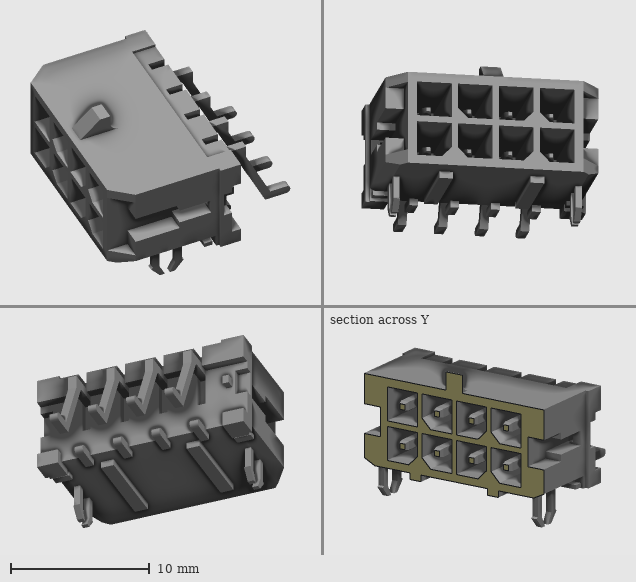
import cadquery as cq
import math


pitch = 3.0
columns = 4
lower_row_z = 2.4
upper_row_z = lower_row_z + pitch
pin_size = 0.64
pin_tip_size = 0.28
pin_tip_length = 0.8
pin_tip_y = 2.5

cell_size = 2.54
cell_chamfer = 0.72
cell_depth = 7.5
upper_keys = ("none", "left", "right", "left")
lower_keys = ("right", "left", "right", "left")

core_half_width = 6.44
wall_half_width = 7.8
flange_half_width = 8.075
body_bottom = 0.5
body_top = 7.37
body_length = 9.92
flange_front = 8.3
leg_front = 8.07
corner_depth = 1.63
corner_low_z = 1.52
corner_high_z = 6.6
bevel_half_width = 6.9
bevel_top_z = 0.96

slot_z = 3.93
wide_slot_height = 2.22
wide_slot_end = 5.15
narrow_slot_height = 1.14
narrow_slot_end = 7.67
clip_hole_depth = 0.5
clip_hole_half_width = 6.82
clip_notch_half_width = 7.13
clip_notch_height = 0.8

comb_half_width = 6.33
comb_top = 7.15
comb_front = 8.05
comb_slot_front = 8.62
rear_recess_y = 9.2
rear_recess_bottom = 1.13
rear_recess_top = 5.52
side_notch_front = 8.57
side_notch_half_width = 7.13
side_notch_bottom = 2.96
side_notch_top = 4.95

rib_x = 3.35
rib_width = 1.0
rib_front = 1.65

latch_width = 1.45
latch_top = 8.75
latch_foot_y = 0.56
latch_crest_front = 2.16
latch_crest_rear = 2.96
latch_root_radius = 0.7

clip_thickness = 0.47
clip_bottom = -2.02
clip_y = 4.59
clip_leg_outer = 1.15
clip_leg_inner = 0.63
clip_barb = 1.31
clip_barb_z = -1.2
clip_barb_step = 0.1
clip_tip_outer = 0.6
clip_tip_inner = 0.2
clip_root_z = 1.5
clip_tail_height = 0.64
tab_outer = 7.74
tab_bottom = 0.16
tab_front = 7.15
tab_length = 0.64

upper_tail_end = 15.4
upper_bend_y = 11.88
upper_bend_z = 4.7
upper_foot_y = 13.8
lower_tail_end = 10.68
inner_bend_y = 10.77


def box(x0, x1, y0, y1, z0, z1):
    """Box given by its limits along each axis."""
    return cq.Workplane("XY").box(x1 - x0, y1 - y0, z1 - z0, centered=False).translate((x0, y0, z0))


def plate(profile, x0, x1):
    """Closed YZ profile extruded from x0 to x1."""
    return profile.extrude(x1 - x0).translate((x0, 0, 0))


def both_sides(solid):
    """The solid together with its mirror image across X = 0."""
    return solid.union(solid.mirror("YZ"))


def housing_block():
    core = box(-core_half_width, core_half_width, 0, body_length, body_bottom, body_top)
    wall_outline = [
        (core_half_width, 0),
        (wall_half_width, corner_depth),
        (wall_half_width, flange_front),
        (core_half_width, flange_front),
    ]
    wall = cq.Workplane("XY").polyline(wall_outline).close().extrude(body_top - body_bottom)
    wall = wall.translate((0, 0, body_bottom))
    bevel = (
        cq.Workplane("XZ")
        .polyline([
            (bevel_half_width, body_bottom),
            (wall_half_width, body_bottom),
            (wall_half_width, bevel_top_z),
        ])
        .close()
        .extrude(-leg_front)
    )
    corner_recess = box(core_half_width, wall_half_width, 0, corner_depth, corner_low_z, corner_high_z)
    leg = box(core_half_width, wall_half_width, leg_front, body_length, 0, body_top)
    flange = box(core_half_width, flange_half_width, flange_front, body_length, 0, body_top)
    side = wall.cut(bevel).cut(corner_recess).union(leg).union(flange)
    return core.union(both_sides(side))


def side_slots():
    def slot(outer, y0, y1, height):
        return box(core_half_width, outer, y0, y1, slot_z - height / 2, slot_z + height / 2)

    hole_end = narrow_slot_end + clip_hole_depth
    cutter = slot(wall_half_width, 0, wide_slot_end, wide_slot_height)
    cutter = cutter.union(slot(wall_half_width, 0, narrow_slot_end, narrow_slot_height))
    cutter = cutter.union(slot(clip_hole_half_width, 0, hole_end, narrow_slot_height))
    cutter = cutter.union(slot(clip_notch_half_width, 0, hole_end, clip_notch_height))
    return both_sides(cutter)


def rear_cuts():
    cutter = box(-comb_half_width, comb_half_width, comb_front, body_length, comb_top, body_top)
    cutter = cutter.union(box(
        -flange_half_width, flange_half_width, rear_recess_y, body_length,
        rear_recess_bottom, rear_recess_top,
    ))
    cutter = cutter.union(box(
        -core_half_width, core_half_width, rear_recess_y, body_length, 0, rear_recess_top,
    ))
    side_notch = box(
        side_notch_half_width, flange_half_width, side_notch_front, rear_recess_y,
        side_notch_bottom, side_notch_top,
    )
    cutter = cutter.union(both_sides(side_notch))
    for x in column_positions():
        cutter = cutter.union(box(
            x - pin_size / 2, x + pin_size / 2, comb_slot_front, body_length, body_bottom, body_top,
        ))
    return cutter


def column_positions():
    return [(i - (columns - 1) / 2) * pitch for i in range(columns)]


def cell(x, z, key):
    """Square cavity; `key` names the lower corner that is cut off."""
    half = cell_size / 2
    cavity = box(x - half, x + half, 0, cell_depth, z - half, z + half)
    if key == "none":
        return cavity
    side = -1 if key == "left" else 1
    corner_x = x + side * half
    corner_z = z - half
    corner = (
        cq.Workplane("XZ")
        .polyline([
            (corner_x, corner_z),
            (corner_x - side * cell_chamfer, corner_z),
            (corner_x, corner_z + cell_chamfer),
        ])
        .close()
        .extrude(-cell_depth)
    )
    return cavity.cut(corner)


def pin_tip(x, z):
    """Square taper at the mating end of a pin."""
    return (
        cq.Workplane("XZ", origin=(x, pin_tip_y, z))
        .rect(pin_tip_size, pin_tip_size)
        .workplane(offset=-pin_tip_length)
        .rect(pin_size, pin_size)
        .loft()
    )


def upper_pin(x):
    """Straight pin, slanted drop behind the housing and a rounded solder foot."""
    half = pin_size / 2
    top = upper_row_z + half
    bottom = upper_row_z - half
    slope = (upper_bend_z - pin_size) / (upper_foot_y - upper_bend_y)
    slant = math.hypot(1, slope)
    shift = pin_size * slant / slope
    inner_foot_y = upper_foot_y + pin_size / slope - shift
    inner_top_y = upper_bend_y + (upper_bend_z - bottom) / slope - shift
    bend_run = inner_top_y - inner_bend_y
    bend_end = (inner_top_y + bend_run / slant, bottom - bend_run * slope / slant)
    profile = (
        cq.Workplane("YZ")
        .moveTo(pin_tip_y + pin_tip_length, top)
        .lineTo(upper_bend_y, top)
        .lineTo(upper_bend_y, upper_bend_z)
        .lineTo(upper_foot_y, pin_size)
        .lineTo(upper_tail_end - half, pin_size)
        .threePointArc((upper_tail_end, half), (upper_tail_end - half, 0))
        .lineTo(inner_foot_y, 0)
        .lineTo(*bend_end)
        .tangentArcPoint((inner_bend_y, bottom), relative=False)
        .lineTo(pin_tip_y + pin_tip_length, bottom)
        .close()
    )
    return plate(profile, x - half, x + half).union(pin_tip(x, upper_row_z))


def lower_pin(x):
    """Straight pin, vertical drop inside the comb and a rounded solder foot."""
    half = pin_size / 2
    drop_rear = rear_recess_y
    drop_front = drop_rear - pin_size
    profile = (
        cq.Workplane("YZ")
        .moveTo(pin_tip_y + pin_tip_length, lower_row_z + half)
        .lineTo(drop_rear, lower_row_z + half)
        .lineTo(drop_rear, pin_size)
        .lineTo(lower_tail_end - half, pin_size)
        .threePointArc((lower_tail_end, half), (lower_tail_end - half, 0))
        .lineTo(drop_front, 0)
        .lineTo(drop_front, lower_row_z - half)
        .lineTo(pin_tip_y + pin_tip_length, lower_row_z - half)
        .close()
    )
    return plate(profile, x - half, x + half).union(pin_tip(x, lower_row_z))


def latch():
    profile = (
        cq.Workplane("YZ")
        .moveTo(latch_foot_y, body_top)
        .lineTo(latch_crest_front, latch_top)
        .lineTo(latch_crest_rear, latch_top)
        .lineTo(latch_crest_rear, body_top + latch_root_radius)
        .radiusArc((latch_crest_rear + latch_root_radius, body_top), -latch_root_radius)
        .close()
    )
    return plate(profile, -latch_width / 2, latch_width / 2)


def ribs():
    return both_sides(box(
        rib_x - rib_width / 2, rib_x + rib_width / 2, rib_front, comb_front, 0, body_bottom,
    ))


def board_clips():
    """Forked board locks with a tail at the rear and a bent tab under the side wall."""
    inner = core_half_width
    outer = core_half_width + clip_thickness
    clip = box(
        inner, outer, narrow_slot_end + clip_hole_depth, body_length,
        slot_z - clip_tail_height / 2, slot_z + clip_tail_height / 2,
    )
    clip = clip.union(box(inner, tab_outer, tab_front, tab_front + tab_length, tab_bottom, body_bottom))
    for side in (-1, 1):
        outline = [
            (clip_leg_inner, clip_root_z),
            (clip_leg_outer, clip_root_z),
            (clip_leg_outer, clip_barb_z + clip_barb_step),
            (clip_barb, clip_barb_z),
            (clip_tip_outer, clip_bottom),
            (clip_tip_inner, clip_bottom),
            (clip_leg_inner, clip_barb_z),
        ]
        leg = cq.Workplane("YZ").polyline([(clip_y + side * y, z) for y, z in outline]).close()
        clip = clip.union(plate(leg, inner, outer))
    return both_sides(clip)


result = housing_block().cut(side_slots()).cut(rear_cuts())
for x, upper_key, lower_key in zip(column_positions(), upper_keys, lower_keys):
    result = result.cut(cell(x, upper_row_z, upper_key))
    result = result.cut(cell(x, lower_row_z, lower_key))
result = result.union(latch()).union(ribs()).union(board_clips())
for x in column_positions():
    result = result.union(upper_pin(x)).union(lower_pin(x))